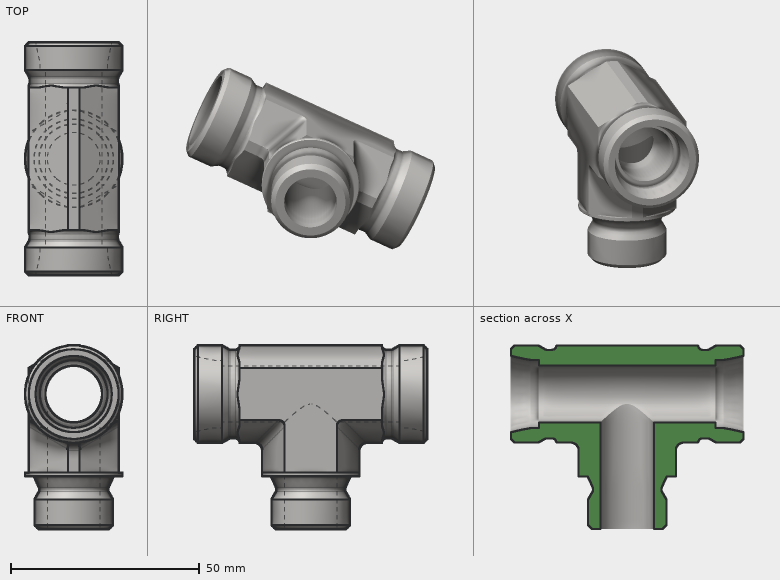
import cadquery as cq
import math

across_flats = 24.0
corner_width = 26.0
crotch_radius = 2.0

run_length = 62.0
run_thread_diameter = corner_width
run_thread_length = 7.4
run_thread_chamfer = 1.05
run_groove_diameter = 23.7
run_groove_end = 11.0
run_groove_fillet = 0.8
flare_radius = 1.1

run_bore_diameter = 15.0
socket_diameter = 18.0
socket_depth = 7.5
cone_length = 5.4
cone_half_angle = math.radians(12)

total_height = 49.0
stud_length = 14.0
stud_thread_diameter = 20.95
stud_thread_length = 8.0
stud_thread_chamfer = 1.2
stud_neck_diameter = 18.3
stud_neck_fillet = 1.2
stud_bore_diameter = 14.0
collar_diameter = corner_width
collar_thickness = 1.05
collar_chamfer = 0.2

run_out_angle = math.radians(30)
undercut_angle = math.radians(25)

half_run = run_length / 2
stud_end = total_height - corner_width / 2
collar_bottom = stud_end - stud_length
collar_top = collar_bottom - collar_thickness
across_corners = across_flats / math.cos(math.radians(30))


def along_y(profile):
    """Revolve a profile drawn as (radius, Y) about the run axis."""
    return profile.close().revolve(360, (0, 0, 0), (0, 1, 0))


def along_minus_z(profile):
    """Revolve a profile drawn as (radius, depth) about Z, with depth pointing down."""
    return along_y(profile).rotate((0, 0, 0), (1, 0, 0), -90)


def mirrored_in_y(solid):
    """Join a solid at the +Y end with its mirror image at the -Y end."""
    return solid.union(solid.mirror("XZ"))


def threaded_outline(end, thread_radius, chamfer, thread_length, floor_radius, fillet, far_angle=0.0):
    """Outline from the end face over the thread and the run-out cone into the groove.

    The fillet runs past the groove floor until its far side slopes at far_angle.
    Returns the open outline and the (radius, axial position) where the fillet ends.
    """
    thread_start = end - thread_length
    fillet_top = floor_radius + fillet * (1 - math.cos(run_out_angle))
    cone_end = thread_start - (thread_radius - fillet_top) / math.tan(run_out_angle)
    fillet_centre = cone_end - fillet * math.sin(run_out_angle)

    def fillet_point(angle):
        radius = floor_radius + fillet * (1 - math.cos(angle))
        return radius, fillet_centre + fillet * math.sin(angle)

    fillet_end = fillet_point(-far_angle)
    outline = (
        cq.Workplane("XY")
        .moveTo(0, end)
        .lineTo(thread_radius - chamfer, end)
        .lineTo(thread_radius, end - chamfer)
        .lineTo(thread_radius, thread_start)
        .lineTo(fillet_top, cone_end)
        .threePointArc(fillet_point((run_out_angle - far_angle) / 2), fillet_end)
    )
    return outline, fillet_end


def hexagon_bar(length):
    """Hexagonal bar rising from Z = 0, flats facing X, corners on the Y axis planed off."""
    hexagon = cq.Workplane("XY").polygon(6, across_corners).extrude(length)
    hexagon = hexagon.rotate((0, 0, 0), (0, 0, 1), 90)
    planed = cq.Workplane("XY").rect(across_corners, corner_width).extrude(length)
    return hexagon.intersect(planed)


def hexagon_tee():
    """Run and branch bars joined, with the inner corners filleted."""
    half_bar = half_run - run_groove_end
    run = hexagon_bar(2 * half_bar).translate((0, 0, -half_bar)).rotate((0, 0, 0), (1, 0, 0), 90)
    branch = hexagon_bar(collar_top).translate((0, 0, -collar_top))
    tee = run.union(branch).clean()
    margin = 0.3
    inner = across_corners / 4 - margin
    outer = corner_width / 2 + margin
    for side in (-1, 1):
        near_y, far_y = sorted((side * inner, side * outer))
        corner_box = cq.selectors.BoxSelector(
            (-across_flats, near_y, -outer), (across_flats, far_y, -inner), boundingbox=True
        )
        tee = tee.edges(corner_box).fillet(crotch_radius)
    return tee


def flare_cutter():
    """Ring that turns the +Y end of the run bar down in a concave flare to the groove."""
    floor = run_groove_diameter / 2
    start = half_run - run_groove_end
    diagonal = flare_radius * math.sqrt(0.5)
    face = start - flare_radius
    profile = (
        cq.Workplane("XY")
        .moveTo(floor, start)
        .threePointArc(
            (floor + flare_radius - diagonal, start - diagonal),
            (floor + flare_radius, face),
        )
        .lineTo(across_corners, face)
        .lineTo(across_corners, start)
    )
    return along_y(profile)


def run_end():
    """Threaded end and groove at +Y."""
    groove_radius = run_groove_diameter / 2
    outline, _ = threaded_outline(
        half_run, run_thread_diameter / 2, run_thread_chamfer,
        run_thread_length, groove_radius, run_groove_fillet,
    )
    base = half_run - run_groove_end - flare_radius
    return along_y(outline.lineTo(groove_radius, base).lineTo(0, base))


def stud():
    """Stud thread, undercut neck and collar below the branch bar."""
    outline, (neck_radius, neck_start) = threaded_outline(
        stud_end, stud_thread_diameter / 2, stud_thread_chamfer,
        stud_thread_length, stud_neck_diameter / 2, stud_neck_fillet, undercut_angle,
    )
    collar_radius = collar_diameter / 2
    root_radius = neck_radius + (neck_start - collar_bottom) * math.tan(undercut_angle)
    profile = (
        outline
        .lineTo(root_radius, collar_bottom)
        .lineTo(collar_radius - collar_chamfer, collar_bottom)
        .lineTo(collar_radius, collar_bottom - collar_chamfer)
        .lineTo(collar_radius, collar_top)
        .lineTo(0, collar_top)
    )
    return along_minus_z(profile)


def run_bore():
    """Half of the run bore: through hole, tube socket and cone, open at +Y."""
    socket_radius = socket_diameter / 2
    stop = half_run - socket_depth
    mouth_radius = socket_radius + cone_length * math.tan(cone_half_angle)
    profile = (
        cq.Workplane("XY")
        .lineTo(run_bore_diameter / 2, 0)
        .lineTo(run_bore_diameter / 2, stop)
        .lineTo(socket_radius, stop)
        .lineTo(socket_radius, half_run - cone_length)
        .lineTo(mouth_radius, half_run)
        .lineTo(0, half_run)
    )
    return along_y(profile)


def stud_bore():
    """Plain hole from the stud end face up to the run axis."""
    return cq.Workplane("XY").circle(stud_bore_diameter / 2).extrude(-stud_end)


body = hexagon_tee().cut(mirrored_in_y(flare_cutter()))
body = body.union(mirrored_in_y(run_end())).union(stud())
result = body.cut(mirrored_in_y(run_bore())).cut(stud_bore())